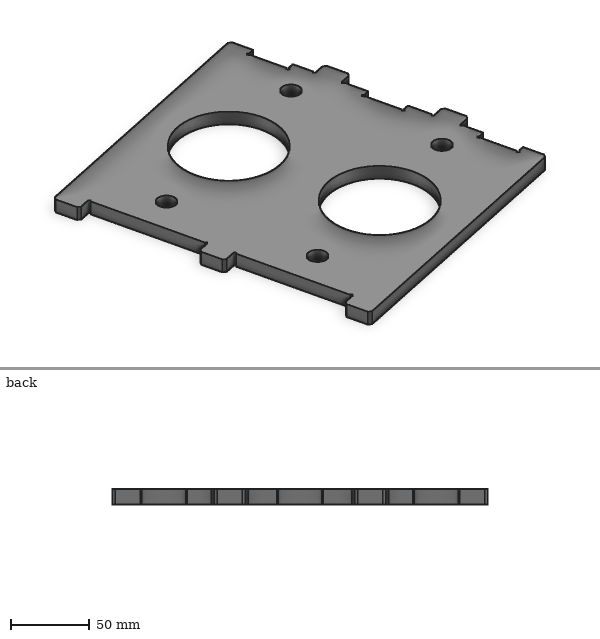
import cadquery as cq

length = 240.0
depth = 220.0
thickness = 10.0

tab_width = 20.0
tab_height = 10.0
back_tab_offset = 45.0
corner_chamfer = 2.0
relief_radius = 1.0

notch_width = 30.0
notch_depth = 5.8
notch_offset = 87.0

opening_diameter = 78.0
screw_hole_diameter = 14.0
opening_offset = 57.0
screw_hole_offset = 74.2

front_edge = -depth / 2 + tab_height
back_edge = depth / 2 - tab_height
front_tab_centers = [-(length - tab_width) / 2, 0, (length - tab_width) / 2]
back_tab_centers = [-back_tab_offset, back_tab_offset]
notch_centers = [-notch_offset, 0, notch_offset]


def block(width, x_center, y_low, y_high):
    """Full-thickness box spanning y_low to y_high."""
    return (
        cq.Workplane("XY")
        .box(width, y_high - y_low, thickness, centered=(True, False, True))
        .translate((x_center, y_low, 0))
    )


def cylinders(points, diameter):
    """Full-thickness cylinders at the given points."""
    return (
        cq.Workplane("XY", origin=(0, 0, -thickness / 2))
        .pushPoints(points)
        .circle(diameter / 2)
        .extrude(thickness)
    )


def chamfer_corners(body, points):
    """Chamfer the vertical edges that pass through the given points."""
    for x, y in points:
        body = body.edges(cq.selectors.NearestToPointSelector((x, y, 0))).chamfer(corner_chamfer)
    return body


plate = block(length, 0, front_edge, back_edge)
outer_corners = [(-length / 2, back_edge), (length / 2, back_edge)]
relief_points = []

for x in front_tab_centers:
    plate = plate.union(block(tab_width, x, -depth / 2, front_edge))
    for side in (-1, 1):
        tab_side = x + side * tab_width / 2
        outer_corners.append((tab_side, -depth / 2))
        if abs(tab_side) < length / 2 - relief_radius:
            relief_points.append((tab_side + side * relief_radius, front_edge))

for x in back_tab_centers:
    plate = plate.union(block(tab_width, x, back_edge, depth / 2))
    for side in (-1, 1):
        tab_side = x + side * tab_width / 2
        outer_corners.append((tab_side, depth / 2))
        relief_points.append((tab_side + side * relief_radius, back_edge))

plate = chamfer_corners(plate, outer_corners)

for x in notch_centers:
    plate = plate.cut(block(notch_width, x, back_edge - notch_depth, back_edge))
    for side in (-1, 1):
        relief_points.append((x + side * notch_width / 2, back_edge - notch_depth))

plate = plate.cut(cylinders(relief_points, 2 * relief_radius))

opening_points = [(x, 0) for x in (-opening_offset, opening_offset)]
screw_points = [(x, y) for x, _ in opening_points for y in (-screw_hole_offset, screw_hole_offset)]
plate = plate.cut(cylinders(opening_points, opening_diameter))
result = plate.cut(cylinders(screw_points, screw_hole_diameter))